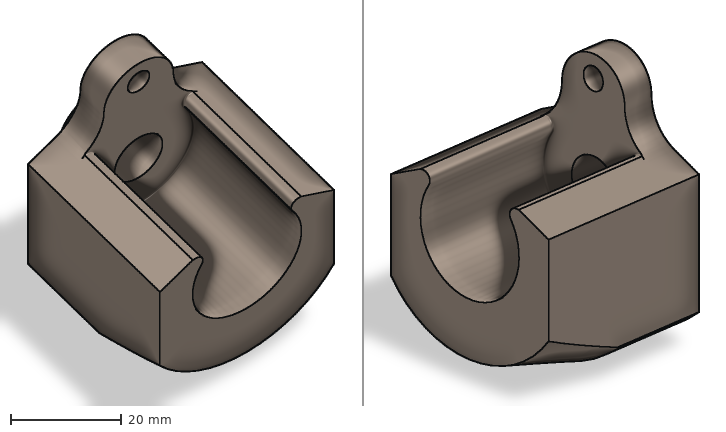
import cadquery as cq
import math


body_length = 39.0
body_width = 40.0
flange_thickness = 7.0
bottom_radius = 29.4
shoulder_angle = math.radians(25)
relief_radius = 0.4

lug_radius = 8.0
lug_center_z = 18.0
neck_radius = 10.0
lug_hole_radius = 2.5
lug_hole_z = 21.0

boss_radius = 10.0
boss_length = 4.0
bore_radius = 5.5

channel_radius = 12.5
lip_radius = 1.65
lip_top_z = 9.55

taper_start_x = 21.1
taper_angle = math.radians(15)

clearance = 11.1

half_width = body_width / 2
shoulder_slope = math.tan(shoulder_angle)


def on_circle(center_y, center_z, radius, angle):
    """Point at an angle on a circle in the YZ plane."""
    return center_y + radius * math.cos(angle), center_z + radius * math.sin(angle)


def mirrored(point):
    """The point on the other side of the XZ plane."""
    return -point[0], point[1]


neck_center = (lug_radius + neck_radius, lug_center_z)
neck_end_angle = 1.5 * math.pi - shoulder_angle
neck_end = on_circle(*neck_center, neck_radius, neck_end_angle)
shoulder_corner_z = neck_end[1] - (half_width - neck_end[0]) * shoulder_slope


def flange_prism():
    """Full outline with the lug, extended over the whole body length."""
    lower_corner = (half_width, -math.sqrt(bottom_radius**2 - half_width**2))
    upper_corner = (half_width, shoulder_corner_z)
    neck_middle = on_circle(*neck_center, neck_radius, (math.pi + neck_end_angle) / 2)
    lug_side = (lug_radius, lug_center_z)
    return (
        cq.Workplane("YZ")
        .moveTo(*lower_corner)
        .lineTo(*upper_corner)
        .lineTo(*neck_end)
        .threePointArc(neck_middle, lug_side)
        .threePointArc((0, lug_center_z + lug_radius), mirrored(lug_side))
        .threePointArc(mirrored(neck_middle), mirrored(neck_end))
        .lineTo(*mirrored(upper_corner))
        .lineTo(*mirrored(lower_corner))
        .threePointArc((0, -bottom_radius), lower_corner)
        .close()
        .extrude(body_length)
    )


def rear_cutter():
    """Space behind the flange: everything above the shoulders, plus the channel."""
    outer_y = half_width + clearance
    outer_z = shoulder_corner_z - clearance * shoulder_slope
    roof_z = lug_center_z + lug_radius + clearance
    shoulder_top = (half_width - (lip_top_z - shoulder_corner_z) / shoulder_slope, lip_top_z)

    lip_z = lip_top_z - lip_radius
    lip_y = math.sqrt((channel_radius + lip_radius)**2 - lip_z**2)
    lip_angle = math.atan2(lip_z, lip_y)
    lip_start = (lip_y, lip_top_z)
    lip_middle = on_circle(lip_y, lip_z, lip_radius, 0.75 * math.pi + lip_angle / 2)
    lip_end = on_circle(0, 0, channel_radius, lip_angle)

    cutter = (
        cq.Workplane("YZ", origin=(flange_thickness, 0, 0))
        .moveTo(outer_y, roof_z)
        .lineTo(outer_y, outer_z)
        .lineTo(*shoulder_top)
        .lineTo(*lip_start)
        .threePointArc(lip_middle, lip_end)
        .threePointArc((0, -channel_radius), mirrored(lip_end))
        .threePointArc(mirrored(lip_middle), mirrored(lip_start))
        .lineTo(*mirrored(shoulder_top))
        .lineTo(-outer_y, outer_z)
        .lineTo(-outer_y, roof_z)
        .close()
        .extrude(body_length)
    )
    return cutter.faces("<X").edges().fillet(relief_radius)


def taper_envelope():
    """Turned shape that limits the body: a cylinder ending in a cone."""
    end_radius = bottom_radius - (body_length - taper_start_x) * math.tan(taper_angle)
    return (
        cq.Workplane("XY")
        .polyline([
            (0, 0),
            (0, bottom_radius),
            (taper_start_x, bottom_radius),
            (body_length, end_radius),
            (body_length, 0),
        ])
        .close()
        .revolve(360, (0, 0, 0), (1, 0, 0))
    )


def boss():
    """Round boss with a fillet at its foot, turned about the bore axis."""
    fillet_offset = relief_radius * (1 - math.sqrt(0.5))
    return (
        cq.Workplane("XZ")
        .moveTo(flange_thickness, 0)
        .lineTo(-boss_length, 0)
        .lineTo(-boss_length, boss_radius)
        .lineTo(-relief_radius, boss_radius)
        .threePointArc((-fillet_offset, boss_radius + fillet_offset), (0, boss_radius + relief_radius))
        .lineTo(flange_thickness, boss_radius + relief_radius)
        .close()
        .revolve(360, (0, 0, 0), (1, 0, 0))
    )


def through_hole(radius, center_z):
    """Cutter for a hole along X through the boss and the flange."""
    return (
        cq.Workplane("YZ", origin=(-boss_length, 0, 0))
        .center(0, center_z)
        .circle(radius)
        .extrude(boss_length + body_length)
    )


result = (
    flange_prism()
    .cut(rear_cutter())
    .intersect(taper_envelope())
    .union(boss())
    .cut(through_hole(bore_radius, 0))
    .cut(through_hole(lug_hole_radius, lug_hole_z))
)